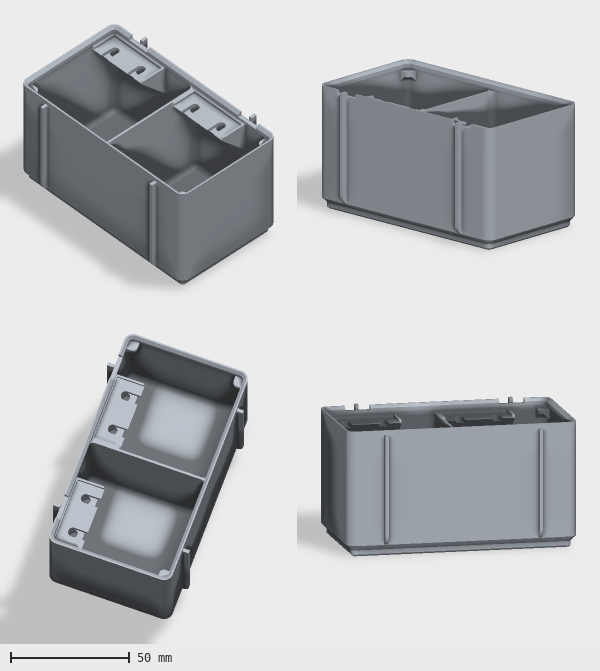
import cadquery as cq

length = 99.5
width = 55.2
height = 54.2
corner_radius = 4.0
wall = 1.2
floor_top = 6.0
cavity_radius = 2.6
divider = 1.0
scoop_radius = 13.4

foot_height = 5.0
foot_inset = 2.3
foot_chamfer = 0.8

rim = 0.65
lip_chamfer = 1.3
lip_inset = rim + lip_chamfer
lip_straight = 1.8
lip_bottom = height - lip_chamfer - lip_straight

rib_spacing = 66.7
rib_width = 1.5
rib_protrusion = 2.9
rib_round = 4.0
rib_setback = 2.0
notch_width = 10.9
notch_depth = 2.0

shelf_top = 50.1
shelf_length = 31.1
shelf_depth = 13.4
shelf_lean = 0.5
shelf_tip_drop = 1.4
pocket_length = 29.0
pocket_depth = 1.2
pocket_side_margin = 1.3
pocket_back_margin = 1.3
slot_width = 4.0
slot_spacing = 15.9
slot_depth = 1.7
hole_from_wall = 7.3

post_size = 4.9
post_radius = 2.0
post_thickness = 2.1
post_flare = 2.5

inner_x = length / 2 - wall
inner_y = width / 2 - wall
cavity_length = inner_x - divider / 2
cavity_starts = (-inner_x, divider / 2)
rib_places = (-rib_spacing / 2, rib_spacing / 2)


def rounded_block(inset, bottom, top, radius=None):
    """Rounded block inset evenly from the body outline, between two heights."""
    if radius is None:
        radius = corner_radius - inset
    return (
        cq.Workplane("XY", origin=(0, 0, bottom))
        .rect(length - 2 * inset, width - 2 * inset)
        .extrude(top - bottom)
        .edges("|Z")
        .fillet(radius)
    )


def tapered_block(inset, bottom, rise, radius=None):
    """Rounded block that grows outward at 45 degrees as it rises."""
    if radius is None:
        radius = corner_radius - inset
    sketch = cq.Sketch().rect(length - 2 * inset, width - 2 * inset)
    sketch = sketch.vertices().fillet(radius)
    return cq.Workplane("XY", origin=(0, 0, bottom)).placeSketch(sketch).extrude(rise, taper=-45)


def box(x0, x1, y0, y1, z0, z1):
    """Axis-aligned block between pairs of coordinates."""
    return cq.Workplane("XY").box(x1 - x0, y1 - y0, z1 - z0, centered=False).translate((x0, y0, z0))


def outer_body():
    """Solid body on a narrower foot, joined by a 45-degree flare."""
    foot = rounded_block(foot_inset, 0, foot_height).faces("<Z").edges().chamfer(foot_chamfer)
    flare = tapered_block(foot_inset, foot_height - foot_inset, foot_inset)
    return rounded_block(0, foot_height, height).union(flare).union(foot)


def lip_opening():
    """Opening inside the stacking lip: straight below, chamfered up to the rim."""
    straight = rounded_block(lip_inset, shelf_top, height)
    return straight.union(tapered_block(lip_inset, height - lip_chamfer, lip_chamfer))


def cavity(start_x):
    """One compartment: a scoop rises along its front, and every lower edge is rounded."""
    scoop_end = scoop_radius - inner_y
    profile = (
        cq.Workplane("YZ", origin=(start_x, 0, 0))
        .moveTo(-inner_y, shelf_top)
        .lineTo(-inner_y, floor_top + scoop_radius)
        .radiusArc((scoop_end, floor_top), -scoop_radius)
        .lineTo(inner_y, floor_top)
        .lineTo(inner_y, shelf_top)
        .close()
    )
    pocket = profile.extrude(cavity_length)
    side_edges = pocket.faces("<X or >X").edges("not >Z")
    back_edge = pocket.faces("<Z").edges(">Y")
    return side_edges.add(back_edge).fillet(cavity_radius)


def lip_undercut():
    """Space between the divider top and the underside of the lip."""
    return rounded_block(wall, shelf_top, lip_bottom, cavity_radius)


def rib(x, side, top):
    """Upright rib on the front (side -1) or back (side 1), rounded at its foot."""
    depth = rib_protrusion + rib_round
    face_y = width / 2 + rib_protrusion
    bar = box(x - rib_width / 2, x + rib_width / 2, face_y - depth, face_y, foot_height, top)
    bar = bar.edges("|X and >Y and <Z").fillet(rib_round)
    bar = bar.intersect(box(-length, length, width / 2 - wall / 2, width, 0, height))
    return bar if side > 0 else bar.mirror("XZ")


def notch(x):
    """Gap through the top of the back lip, stopping at the outer wall face."""
    half = notch_width / 2
    return box(x - half, x + half, inner_y - wall, width / 2, height - notch_depth, height)


def shelf(start_x):
    """Label shelf on the back wall, with a 45-degree underside and two open slots."""
    back_y = inner_y + wall / 2
    front_y = inner_y - shelf_depth
    tip_z = shelf_top - shelf_tip_drop
    profile = [
        (back_y, shelf_top),
        (front_y + shelf_lean, shelf_top),
        (front_y, tip_z),
        (back_y, tip_z - (back_y - front_y)),
    ]
    margin = wall / 2 if start_x < 0 else divider / 2
    ledge = (
        cq.Workplane("YZ", origin=(start_x - margin, 0, 0))
        .polyline(profile)
        .close()
        .extrude(shelf_length + margin)
    )
    pocket_x = start_x + pocket_side_margin
    pocket_floor = shelf_top - pocket_depth
    pocket_back = inner_y - pocket_back_margin
    pocket = box(pocket_x, pocket_x + pocket_length, front_y, pocket_back, pocket_floor, height)
    ledge = ledge.cut(pocket)
    hole_y = inner_y - hole_from_wall
    for offset in (-slot_spacing / 2, slot_spacing / 2):
        x = pocket_x + pocket_length / 2 + offset
        half = slot_width / 2
        slot = box(x - half, x + half, front_y, hole_y, pocket_floor - slot_depth, height)
        hole = cq.Workplane("XY", origin=(x, hole_y, floor_top))
        hole = hole.circle(half).extrude(height)
        ledge = ledge.cut(slot).cut(hole)
    return ledge.intersect(rounded_block(wall / 2, 0, height))


def post(side_x, side_y):
    """Corner support: a thin block flared at 45 degrees into the two walls below it."""
    block_bottom = shelf_top - post_thickness
    column = box(
        inner_x - post_size,
        inner_x + wall / 2,
        inner_y - post_size,
        inner_y + wall / 2,
        block_bottom - post_flare,
        shelf_top,
    )
    column = column.edges("|Z and <X and <Y").fillet(post_radius)
    hollow = tapered_block(wall + post_flare, 0, post_flare, cavity_radius - post_flare)
    hollow = hollow.mirror("XY").translate((0, 0, block_bottom))
    column = column.cut(hollow)
    column = column.intersect(rounded_block(wall / 2, 0, height))
    if side_x < 0:
        column = column.mirror("YZ")
    if side_y < 0:
        column = column.mirror("XZ")
    return column


result = outer_body().cut(lip_opening()).cut(lip_undercut())
for start in cavity_starts:
    result = result.cut(cavity(start))
for start in cavity_starts:
    result = result.union(shelf(start))
for side_x, side_y in ((-1, -1), (1, -1), (1, 1)):
    result = result.union(post(side_x, side_y))
for x in rib_places:
    result = result.union(rib(x, 1, height))
    result = result.union(rib(x, -1, height - rib_setback))
    result = result.cut(notch(x))